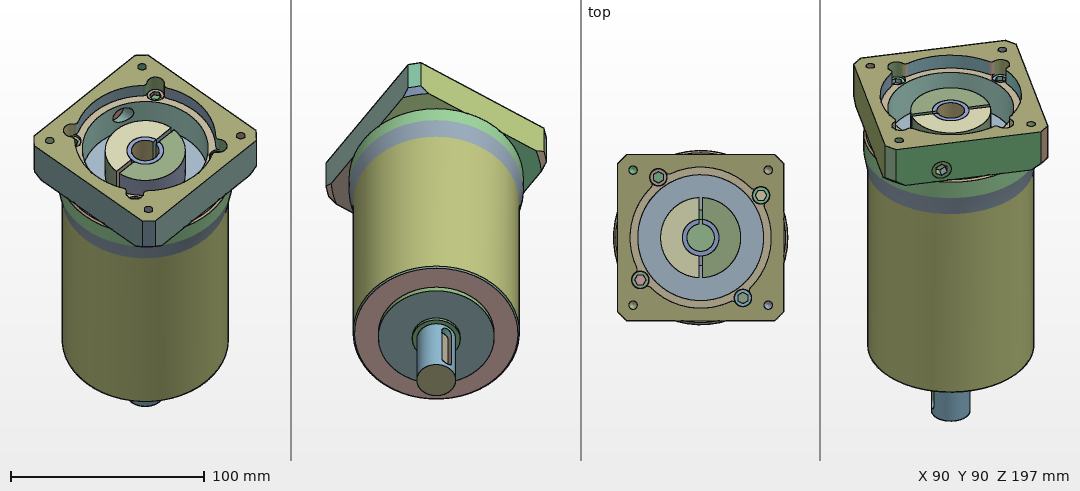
import cadquery as cq
import math

TOTAL_HEIGHT = 197.0
COLLAR_BOTTOM = 35.0
PILOT_BOTTOM = 36.8
BARREL_BOTTOM = 40.0
TAPER_BOTTOM = 151.7
TAPER_TOP = 163.1
FLANGE_BOTTOM = 174.0

SHAFT_RADIUS = 10.0
COLLAR_RADIUS = 12.5
PILOT_RADIUS = 30.0
BARREL_RADIUS = 43.0
RIM_DIAMETER = 90.0
RIM_RADIUS = RIM_DIAMETER / 2
EDGE_CHAMFER = 0.8
RIM_CHAMFER_WIDTH = 1.2

KEYWAY_WIDTH = 6.0
KEYWAY_DEPTH = 3.5
KEYWAY_BOTTOM = 3.0
KEYWAY_LENGTH = 30.0

FLANGE_SIDE = 2 * BARREL_RADIUS
FLANGE_CORNER_CHAMFER = 4.7
FLANGE_CONE_RADIUS = 54.4
RECESS_RADIUS = 36.5
RECESS_DEPTH = 8.0
RECESS_FLOOR = TOTAL_HEIGHT - RECESS_DEPTH
CAVITY_RADIUS = 32.5
CAVITY_FLOOR = 168.6
MOUNT_HOLE_OFFSET = 34.9
MOUNT_HOLE_RADIUS = 2.2
MOUNT_HOLE_DEPTH = 15.8
DRILL_TIP_ANGLE = 118.0

HUB_RADIUS = 20.7
HUB_TOP = 187.3
SLIT_WIDTH = 2.0
HUB_CORE_RADIUS = 14.4
HUB_CORE_TOP = 171.4
BUSHING_RADIUS = 9.5
BUSHING_BORE_RADIUS = 7.0
BUSHING_LENGTH = 19.7
BUSHING_BOTTOM = HUB_TOP - BUSHING_LENGTH

SCREW_COUNT = 4
SCREW_CIRCLE_RADIUS = 38.0
SCREW_START_ANGLE = 35.0
SCREW_HEAD_RADIUS = 4.3
SCREW_HEAD_HEIGHT = 5.0
SCREW_HEAD_TOP = 187.7
SCREW_SEAT = SCREW_HEAD_TOP - SCREW_HEAD_HEIGHT
SCREW_SHANK_RADIUS = 2.5
SCREW_SHANK_LENGTH = 15.8
SCREW_HEX_SIZE = 5.1
SCREW_HEX_DEPTH = 2.5
COUNTERBORE_RADIUS = 4.5
COUNTERBORE_FILLET = 2.0

PLUG_RADIUS = 5.1
PLUG_LENGTH = 9.8
PLUG_Y = 14.2
PLUG_Z = 180.8
PLUG_HEX_SIZE = 6.0
PLUG_HEX_DEPTH = 5.0

HEX_CORNER_RATIO = 2 / math.sqrt(3)


def cylinder(radius, bottom, top):
    """Cylinder on the Z axis between two heights."""
    return cq.Workplane("XY").workplane(offset=bottom).circle(radius).extrude(top - bottom)


def frustum(bottom_radius, top_radius, bottom, top):
    """Cone section on the Z axis between two heights."""
    profile = [(0, bottom), (bottom_radius, bottom), (top_radius, top), (0, top)]
    return cq.Workplane("XZ").polyline(profile).close().revolve()


def make_gearbox():
    """Turned gearbox case with its output shaft, on the Z axis."""
    profile = [
        (0, 0),
        (SHAFT_RADIUS, 0),
        (SHAFT_RADIUS, COLLAR_BOTTOM),
        (COLLAR_RADIUS, COLLAR_BOTTOM),
        (COLLAR_RADIUS, PILOT_BOTTOM),
        (PILOT_RADIUS, PILOT_BOTTOM),
        (PILOT_RADIUS, BARREL_BOTTOM),
        (BARREL_RADIUS - EDGE_CHAMFER, BARREL_BOTTOM),
        (BARREL_RADIUS, BARREL_BOTTOM + EDGE_CHAMFER),
        (BARREL_RADIUS, TAPER_BOTTOM),
        (RIM_RADIUS, TAPER_TOP),
        (RIM_RADIUS, FLANGE_BOTTOM - EDGE_CHAMFER),
        (RIM_RADIUS - RIM_CHAMFER_WIDTH, FLANGE_BOTTOM),
        (0, FLANGE_BOTTOM),
    ]
    return cq.Workplane("XZ").polyline(profile).close().revolve()


def make_keyway():
    """Round-ended keyway cutter on the +Y side of the shaft."""
    middle = KEYWAY_BOTTOM + KEYWAY_LENGTH / 2
    return (
        cq.Workplane("XZ", origin=(0, SHAFT_RADIUS - KEYWAY_DEPTH, middle))
        .slot2D(KEYWAY_LENGTH, KEYWAY_WIDTH, 90)
        .extrude(-2 * KEYWAY_DEPTH)
    )


def make_flange():
    """Square plate with cut corners and a conical chamfer under the corners."""
    height = TOTAL_HEIGHT - FLANGE_BOTTOM
    plate = (
        cq.Workplane("XY")
        .workplane(offset=FLANGE_BOTTOM)
        .rect(FLANGE_SIDE, FLANGE_SIDE)
        .extrude(height)
        .edges("|Z")
        .chamfer(FLANGE_CORNER_CHAMFER)
    )
    cone = frustum(FLANGE_CONE_RADIUS, FLANGE_CONE_RADIUS + height, FLANGE_BOTTOM, TOTAL_HEIGHT)
    return plate.intersect(cone)


def make_mount_holes():
    """Cutter for the blind drilled holes in the four flange corners."""
    tip_height = MOUNT_HOLE_RADIUS / math.tan(math.radians(DRILL_TIP_ANGLE / 2))
    bottom = TOTAL_HEIGHT - MOUNT_HOLE_DEPTH
    profile = [
        (0, TOTAL_HEIGHT),
        (MOUNT_HOLE_RADIUS, TOTAL_HEIGHT),
        (MOUNT_HOLE_RADIUS, bottom),
        (0, bottom - tip_height),
    ]
    drill = cq.Workplane("XZ").polyline(profile).close().revolve().val()
    spacing = 2 * MOUNT_HOLE_OFFSET
    corners = cq.Workplane("XY").rect(spacing, spacing, forConstruction=True).vertices()
    return corners.eachpoint(lambda place: drill.moved(place), combine="a")


def screw_circle_cylinders(radius, bottom, top):
    """Vertical cylinders at the screw positions."""
    return (
        cq.Workplane("XY")
        .workplane(offset=bottom)
        .polarArray(SCREW_CIRCLE_RADIUS, SCREW_START_ANGLE, 360, SCREW_COUNT)
        .circle(radius)
        .extrude(top - bottom)
    )


def make_motor_recess():
    """Cutter for the motor recess, widened with rounded corners at the screws."""
    recess = cylinder(RECESS_RADIUS, RECESS_FLOOR, TOTAL_HEIGHT)
    counterbores = screw_circle_cylinders(COUNTERBORE_RADIUS, RECESS_FLOOR, TOTAL_HEIGHT)
    return recess.union(counterbores).edges("|Z").fillet(COUNTERBORE_FILLET)


def make_hub():
    """Clamping hub on the cavity floor, slit across along Y down to its solid core."""
    hub = cylinder(HUB_RADIUS, CAVITY_FLOOR, HUB_TOP)
    slit = (
        cq.Workplane("XY")
        .workplane(offset=CAVITY_FLOOR)
        .rect(SLIT_WIDTH, 2 * HUB_RADIUS)
        .extrude(HUB_TOP - CAVITY_FLOOR)
        .cut(cylinder(HUB_CORE_RADIUS, CAVITY_FLOOR, HUB_CORE_TOP))
    )
    return hub.cut(slit)


def plug_axis():
    """Workplane on the -X side of the flange, centred on the plug, facing into the flange."""
    plane = cq.Plane(origin=(-FLANGE_SIDE / 2, PLUG_Y, PLUG_Z), xDir=(0, 0, 1), normal=(1, 0, 0))
    return cq.Workplane(plane)


def make_housing():
    """Gearbox, motor flange and clamping hub with all their openings."""
    access_hole = plug_axis().circle(PLUG_RADIUS).extrude(FLANGE_SIDE / 2 - HUB_RADIUS)
    return (
        make_gearbox()
        .cut(make_keyway())
        .union(make_flange())
        .cut(cylinder(CAVITY_RADIUS, CAVITY_FLOOR, TOTAL_HEIGHT))
        .cut(make_motor_recess())
        .cut(screw_circle_cylinders(COUNTERBORE_RADIUS, SCREW_SEAT, RECESS_FLOOR))
        .cut(screw_circle_cylinders(SCREW_SHANK_RADIUS, SCREW_SEAT - SCREW_SHANK_LENGTH, SCREW_SEAT))
        .cut(make_mount_holes())
        .cut(access_hole)
        .union(make_hub())
        .cut(cylinder(BUSHING_RADIUS, BUSHING_BOTTOM, HUB_TOP))
    )


def make_bushing():
    """Reducing bushing, flush with the hub top and slit on its +Y side."""
    slit = (
        cq.Workplane("XY")
        .workplane(offset=BUSHING_BOTTOM)
        .center(0, BUSHING_RADIUS / 2)
        .rect(SLIT_WIDTH, BUSHING_RADIUS)
        .extrude(BUSHING_LENGTH)
    )
    return (
        cylinder(BUSHING_RADIUS, BUSHING_BOTTOM, HUB_TOP)
        .cut(cylinder(BUSHING_BORE_RADIUS, BUSHING_BOTTOM, HUB_TOP))
        .cut(slit)
    )


def make_plug():
    """Plug flush with the flange side, with a hexagon socket."""
    socket = plug_axis().polygon(6, PLUG_HEX_SIZE * HEX_CORNER_RATIO).extrude(PLUG_HEX_DEPTH)
    return plug_axis().circle(PLUG_RADIUS).extrude(PLUG_LENGTH).cut(socket)


def make_screw(angle):
    """Socket-head screw at the given angle on the screw circle."""
    socket = (
        cq.Workplane("XY")
        .polygon(6, SCREW_HEX_SIZE * HEX_CORNER_RATIO)
        .extrude(-SCREW_HEX_DEPTH)
    )
    screw = (
        cq.Workplane("XY")
        .circle(SCREW_HEAD_RADIUS)
        .extrude(-SCREW_HEAD_HEIGHT)
        .faces("<Z")
        .workplane()
        .circle(SCREW_SHANK_RADIUS)
        .extrude(SCREW_SHANK_LENGTH)
        .cut(socket)
    )
    return (
        screw.rotate((0, 0, 0), (0, 0, 1), -SCREW_START_ANGLE)
        .translate((SCREW_CIRCLE_RADIUS, 0, SCREW_HEAD_TOP))
        .rotate((0, 0, 0), (0, 0, 1), angle)
    )


housing = make_housing()
bushing = make_bushing()
plug = make_plug()
screws = [make_screw(SCREW_START_ANGLE + i * 360 / SCREW_COUNT) for i in range(SCREW_COUNT)]

result = cq.Compound.makeCompound(
    [housing.val(), bushing.val(), plug.val(), *[screw.val() for screw in screws]]
)